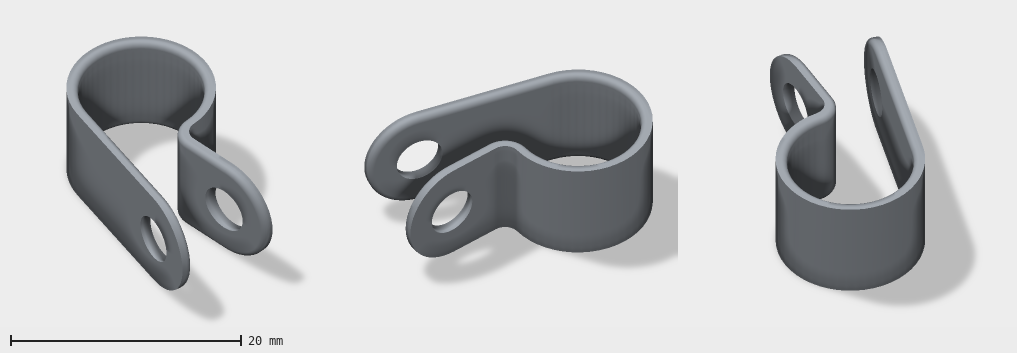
import cadquery as cq
import math

thickness = 1.0
width = 9.6
loop_radius = 6.5
overall_length = 23.9
hole_diameter = 4.3
bend_radius = 1.3
bend_start_angle = 12.8
tab_slope = 15.0
sloped_tab_straight = 4.61

loop_inner_radius = loop_radius - thickness
bend_outer_radius = bend_radius + thickness
tab_end_radius = width / 2
edge_round = thickness / 2
flat_tab_straight = overall_length - loop_radius - tab_end_radius


def polar(radius, angle, center=(0, 0)):
    """Point at a radius and an angle in degrees about a center."""
    a = math.radians(angle)
    return center[0] + radius * math.cos(a), center[1] + radius * math.sin(a)


def arc_band(inner, outer, start, end, center=(0, 0)):
    """Curved strip of full width between two radii, from start to end angle."""
    middle = (start + end) / 2
    return (
        cq.Workplane("XY")
        .moveTo(*polar(outer, start, center))
        .threePointArc(polar(outer, middle, center), polar(outer, end, center))
        .lineTo(*polar(inner, end, center))
        .threePointArc(polar(inner, middle, center), polar(inner, start, center))
        .close()
        .extrude(width / 2, both=True)
    )


def tab(origin, slope, straight):
    """Round-ended tab, growing to the left of its direction of travel."""
    direction = (*polar(1, slope), 0)
    left = (*polar(1, slope + 90), 0)
    plane = cq.Plane(origin=(*origin, 0), xDir=direction, normal=left)
    return (
        cq.Workplane(plane)
        .moveTo(0, -width / 2)
        .lineTo(straight, -width / 2)
        .threePointArc((straight + tab_end_radius, 0), (straight, width / 2))
        .lineTo(0, width / 2)
        .close()
        .extrude(thickness)
    )


loop = arc_band(loop_inner_radius, loop_radius, bend_start_angle, 270)

bend_center = polar(loop_radius + bend_radius, bend_start_angle)
bend_end_angle = 270 + tab_slope
bend = arc_band(bend_radius, bend_outer_radius, 180 + bend_start_angle, bend_end_angle, bend_center)

flat_tab = tab((0, -loop_radius), 0, flat_tab_straight)
sloped_tab = tab(polar(bend_outer_radius, bend_end_angle, bend_center), tab_slope, sloped_tab_straight)

clamp = loop.union(bend).union(flat_tab).union(sloped_tab)

rim_point = (flat_tab_straight / 2, -loop_inner_radius, width / 2)
clamp = clamp.edges(cq.selectors.NearestToPointSelector(rim_point)).fillet(edge_round)

screw_hole = (
    cq.Workplane("XZ")
    .center(flat_tab_straight, 0)
    .circle(hole_diameter / 2)
    .extrude(loop_radius, both=True)
)
result = clamp.cut(screw_hole)